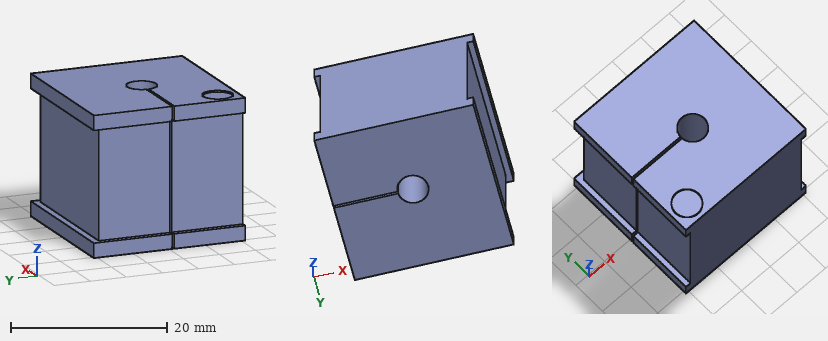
import cadquery as cq

side = 21.0
height = 19.0

flange_thickness = 2.0
side_inset = 0.8
back_inset = 1.0

hole_diameter = 4.0
slit_width = 0.3

label_diameter = 4.0
label_edge_distance = 2.7
label_depth = 0.2

body_width = side - 2 * side_inset
body_depth = side - back_inset
body_height = height - 2 * flange_thickness
body_center_y = -back_inset / 2


def make_spool():
    """Square end flanges joined by the inset body, with the base at Z = 0."""
    flange = cq.Workplane("XY").box(side, side, flange_thickness, centered=(True, True, False))
    body = (
        cq.Workplane("XY", origin=(0, body_center_y, flange_thickness))
        .box(body_width, body_depth, body_height, centered=(True, True, False))
    )
    top_flange = flange.translate((0, 0, height - flange_thickness))
    return flange.union(body).union(top_flange)


def make_cable_passage():
    """Vertical through hole on the body axis, with a slit running out to the -X side."""
    base = cq.Workplane("XY", origin=(0, body_center_y, 0))
    hole = base.circle(hole_diameter / 2).extrude(height)
    slit = base.center(-side / 4, 0).rect(side / 2, slit_width).extrude(height)
    return hole.union(slit)


def make_label_recess():
    """Shallow disc cut into the top face at the -X, -Y corner."""
    label_center = -side / 2 + label_edge_distance
    return (
        cq.Workplane("XY", origin=(label_center, label_center, height - label_depth))
        .circle(label_diameter / 2)
        .extrude(label_depth)
    )


result = make_spool().cut(make_cable_passage()).cut(make_label_recess())